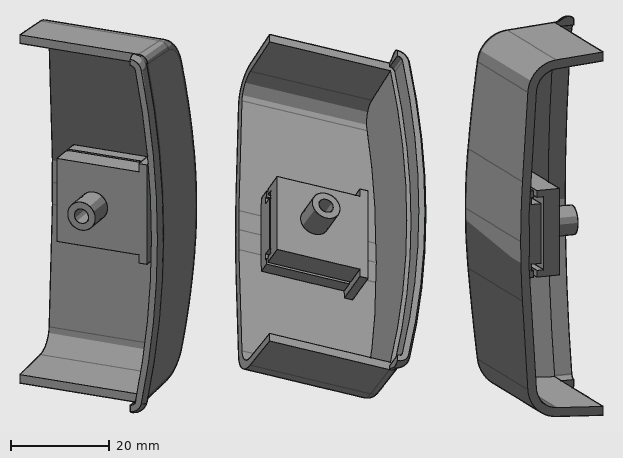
import cadquery as cq
import math

wall = 1.9
back_y = 22.2
rim_y = 4.15
rim_half_height = 38.1
side_draft = 3.9
back_draft = 3.6
crown_half_z = 12.5
crown_rise = crown_half_z * math.tan(math.radians(back_draft)) / 2
corner_radius = 6.65

end_x = 32.1
end_radius = 186.3
end_edge_radius = 2.1

lip_inset = 0.95
lip_front_bulge = 0.4
lip_bulge = 1.0
lip_bulge_y = 1.25
lip_shoulder = 0.8
lip_shoulder_y = 2.2
lip_root = 0.15
lip_root_y = 3.3

ridge_half_height = 4.85
ridge_rise = 0.15

block_x = 4.85
block_end_x = 24.9
block_front_y = 11.8
block_half_height = 9.1
flange_thickness = 1.8
flange_half_height = 10.9

web_y = (15.3, 15.8)
hook_y = (15.3, 17.9)
slit_y = (16.75, 17.45)
hook_inner_z = 6.3
hook_outer_z = 7.7

boss_x = 13.1
boss_radius = 3.05
boss_hole_radius = 1.6
boss_front_y = 5.6

cut_length = 47.0


def box(x_range, y_range, z_range):
    """Axis-aligned box between the given limits."""
    size = [high - low for low, high in (x_range, y_range, z_range)]
    return cq.Workplane("XY").box(*size, centered=False).translate(
        (x_range[0], y_range[0], z_range[0])
    )


def trough(inset, arc_half_height, arc_rise):
    """Solid with the trough section, offset inward from the outer surface.

    The back is two drafted flats joined by an arc crown; a negative arc_rise
    makes the crown bulge inward.
    """
    corner = corner_radius - inset
    side_angle = math.radians(side_draft)
    back_angle = math.radians(back_draft)
    side_z = rim_half_height - corner_radius / math.cos(side_angle)
    peak_y = back_y + crown_rise
    back_line_y = peak_y - corner_radius / math.cos(back_angle)
    side_slope = math.tan(side_angle)
    back_slope = math.tan(back_angle)
    center_z = (side_z - (back_line_y - rim_y) * side_slope) / (1 - side_slope * back_slope)
    center_y = back_line_y - center_z * back_slope

    def on_corner(angle):
        return (center_y + corner * math.cos(angle), center_z + corner * math.sin(angle))

    side_end = on_corner(math.pi / 2 - side_angle)
    corner_mid = on_corner((math.pi / 2 - side_angle + back_angle) / 2)
    back_end = on_corner(back_angle)
    rim = (rim_y, side_end[1] + (side_end[0] - rim_y) * side_slope)
    crown_y = back_end[0] + (back_end[1] - arc_half_height) * back_slope
    crown_end = (crown_y, arc_half_height)
    crown_mid = (crown_y + 0.75 * arc_rise, arc_half_height / 2)
    crown_top = (crown_y + arc_rise, 0)

    def low(point):
        return (point[0], -point[1])

    return (
        cq.Workplane("YZ")
        .moveTo(*rim)
        .lineTo(*side_end)
        .threePointArc(corner_mid, back_end)
        .lineTo(*crown_end)
        .threePointArc(crown_mid, crown_top)
        .threePointArc(low(crown_mid), low(crown_end))
        .lineTo(*low(back_end))
        .threePointArc(low(corner_mid), low(side_end))
        .lineTo(*low(rim))
        .close()
        .extrude(cut_length)
    )


def end_cylinder(inset):
    """Large cylinder whose +X side is the end wall surface."""
    return (
        cq.Workplane("XZ")
        .center(end_x - end_radius, 0)
        .circle(end_radius - inset)
        .extrude(-cut_length)
    )


def make_shell():
    outer = trough(0, crown_half_z, crown_rise).intersect(end_cylinder(0))
    outer = outer.faces(">X").edges("not <Y").fillet(end_edge_radius)
    cavity = trough(wall, ridge_half_height, -ridge_rise).intersect(end_cylinder(wall))
    return outer.cut(cavity)


def make_lip():
    center_z = rim_half_height - end_edge_radius
    end_center_x = end_x - end_radius
    center_x = end_center_x + math.sqrt((end_radius - end_edge_radius) ** 2 - center_z**2)
    end_angle = math.atan2(center_z, center_x - end_center_x)
    mid_angle = (math.pi / 2 + end_angle) / 2
    tangent = (
        end_center_x + end_radius * math.cos(end_angle),
        end_radius * math.sin(end_angle),
    )
    mid = (
        center_x + end_edge_radius * math.cos(mid_angle),
        center_z + end_edge_radius * math.sin(mid_angle),
    )
    path = (
        cq.Workplane("XZ")
        .moveTo(center_x, rim_half_height)
        .threePointArc(mid, tangent)
        .threePointArc((end_x, 0), (tangent[0], -tangent[1]))
        .threePointArc((mid[0], -mid[1]), (center_x, -rim_half_height))
    )
    profile = (
        cq.Workplane("YZ", origin=(center_x, 0, rim_half_height))
        .moveTo(0, -lip_inset)
        .lineTo(0, lip_front_bulge)
        .spline(
            [
                (lip_bulge_y, lip_bulge),
                (lip_shoulder_y, lip_shoulder),
                (lip_root_y, lip_root),
                (rim_y, 0),
            ],
            includeCurrent=True,
        )
        .lineTo(rim_y, -lip_inset)
        .close()
    )
    return profile.sweep(path)


def make_block():
    y_range = (block_front_y, back_y - wall / 2)
    flange_x = block_end_x - flange_thickness
    block = box((block_x, block_end_x), y_range, (-block_half_height, block_half_height))
    block = block.union(
        box((flange_x, block_end_x), y_range, (-flange_half_height, flange_half_height))
    )
    slot_x = (block_x, flange_x)
    block = block.cut(box(slot_x, web_y, (-hook_outer_z, hook_outer_z)))
    for inner, outer, y_limits in (
        (hook_inner_z, hook_outer_z, hook_y),
        (hook_outer_z, block_half_height, slit_y),
    ):
        block = block.cut(box(slot_x, y_limits, (inner, outer)))
        block = block.cut(box(slot_x, y_limits, (-outer, -inner)))
    boss = (
        cq.Workplane("XZ", origin=(boss_x, block_front_y, 0))
        .circle(boss_radius)
        .circle(boss_hole_radius)
        .extrude(block_front_y - boss_front_y)
    )
    return block.union(boss)


result = make_shell().union(make_lip()).union(make_block())